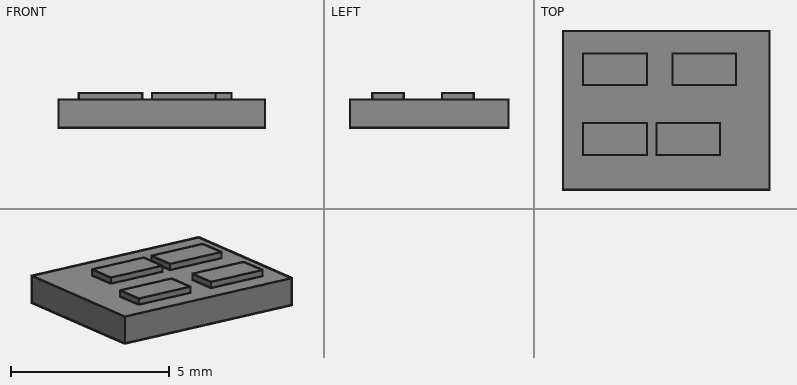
import cadquery as cq

plate_length = 6.5
plate_width = 5.0
plate_thickness = 0.9

pad_length = 2.0
pad_width = pad_length / 2
pad_height = 0.2

left_column_x = 0.64
front_right_pad_x = 2.94
back_right_pad_x = 3.445
front_row_y = 1.1
back_row_y = 3.295

pad_corners = [
    (left_column_x, front_row_y),
    (front_right_pad_x, front_row_y),
    (left_column_x, back_row_y),
    (back_right_pad_x, back_row_y),
]


def make_plate():
    """Plain plate with its lower front left corner at the origin."""
    return cq.Workplane("XY").box(plate_length, plate_width, plate_thickness, centered=False)


def make_pad(x, y):
    """Pad standing on the plate's top face, with its front left corner at (x, y)."""
    pad = cq.Workplane("XY").box(pad_length, pad_width, pad_height, centered=False)
    return pad.translate((x, y, plate_thickness))


result = make_plate()
for corner_x, corner_y in pad_corners:
    result = result.union(make_pad(corner_x, corner_y))